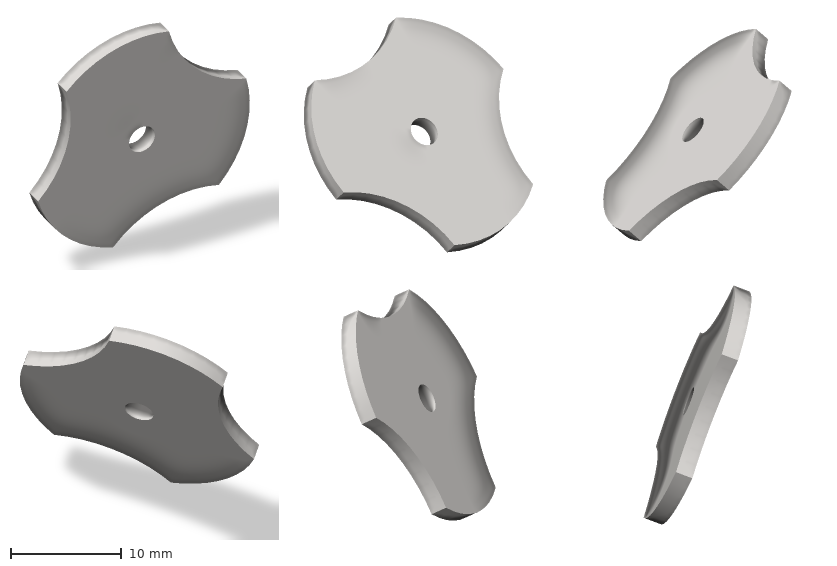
import cadquery as cq
import math

overall_size = 22.17
thickness = 1.6
bore_diameter = 2.7
notch_radius = 11.0
notch_span = 61.0
notch_count = 3
first_notch_angle = 45.0

second_notch_angle = first_notch_angle + 360 / notch_count
half_span = math.radians(notch_span / 2)
corner_angle = math.radians(second_notch_angle) + half_span
disc_radius = overall_size / (1 - math.cos(corner_angle))

half_chord = disc_radius * math.sin(half_span)
chord_distance = disc_radius * math.cos(half_span)
notch_center_distance = chord_distance + math.sqrt(notch_radius**2 - half_chord**2)

disc = cq.Workplane("YZ").circle(disc_radius).extrude(thickness)

notches = (
    cq.Workplane("YZ")
    .polarArray(notch_center_distance, first_notch_angle, 360, notch_count)
    .circle(notch_radius)
    .extrude(thickness)
)

bore = cq.Workplane("YZ").circle(bore_diameter / 2).extrude(thickness)

result = disc.cut(notches).cut(bore)